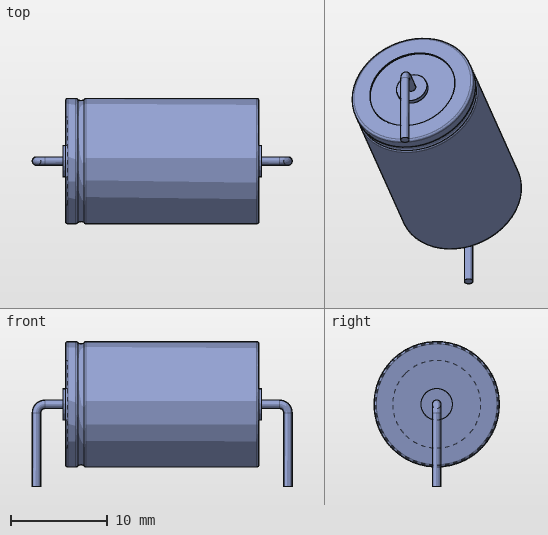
import cadquery as cq

can_length = 20.01
can_radius = 6.496
end_fillet = 0.25

groove_start = 1.05
groove_left_edge = 1.3
groove_right_edge = 1.95
groove_end = 2.1
groove_depth = 0.22
groove_edge_drop = 0.13

recess_diameter = 9.1
recess_depth = 0.2

pad_diameter = 3.25
pad_height = 0.27

lead_span = 26.9
lead_diameter = 0.9
lead_bend_radius = 0.9
lead_embed = 0.95
overall_height = 15.0

half_can = can_length / 2
lead_x = (lead_span - lead_diameter) / 2
lead_bottom = can_radius - overall_height
lead_start = half_can - lead_embed


def x_cylinder(diameter, x_start, x_end):
    """Solid cylinder on the X axis between two X positions."""
    return cq.Workplane("YZ", origin=(x_start, 0, 0)).circle(diameter / 2).extrude(x_end - x_start)


def make_can():
    """Revolved can with rounded ends and a groove with rounded shoulders."""
    edge_radius = can_radius - groove_edge_drop
    floor_radius = can_radius - groove_depth
    left_edge = groove_left_edge - half_can
    right_edge = groove_right_edge - half_can
    profile = (
        cq.Workplane("XY")
        .moveTo(-half_can, 0)
        .lineTo(-half_can, can_radius - end_fillet)
        .radiusArc((end_fillet - half_can, can_radius), end_fillet)
        .lineTo(groove_start - half_can, can_radius)
        .tangentArcPoint((left_edge, edge_radius), relative=False)
        .threePointArc(((left_edge + right_edge) / 2, floor_radius), (right_edge, edge_radius))
        .radiusArc((groove_end - half_can, can_radius), groove_end - groove_right_edge)
        .lineTo(half_can - end_fillet, can_radius)
        .radiusArc((half_can, can_radius - end_fillet), end_fillet)
        .lineTo(half_can, 0)
        .close()
    )
    return profile.revolve(360, (0, 0, 0), (1, 0, 0))


def make_lead():
    """Wire on the +X side: out along X, round the bend, then straight down."""
    path = (
        cq.Workplane("XZ")
        .moveTo(lead_start, 0)
        .lineTo(lead_x - lead_bend_radius, 0)
        .radiusArc((lead_x, -lead_bend_radius), lead_bend_radius)
        .lineTo(lead_x, lead_bottom)
    )
    return cq.Workplane("YZ", origin=(lead_start, 0, 0)).circle(lead_diameter / 2).sweep(path)


recess = x_cylinder(recess_diameter, -half_can, recess_depth - half_can)
pads = x_cylinder(pad_diameter, -half_can - pad_height, half_can + pad_height)
right_lead = make_lead()
left_lead = right_lead.mirror("YZ")

result = make_can().cut(recess).union(pads).union(right_lead).union(left_lead)